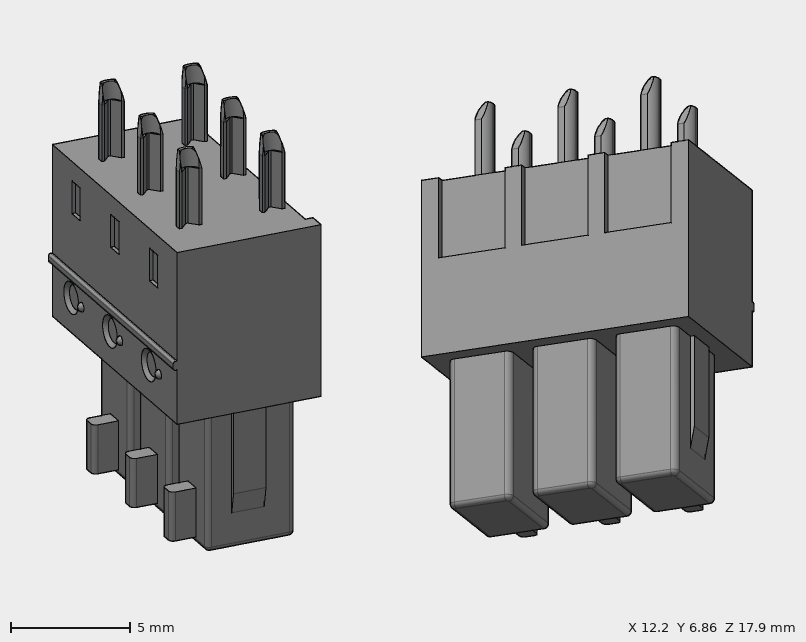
import cadquery as cq


total_height = 17.9
pole_pitch = 3.8
pole_centres = [-pole_pitch, 0.0, pole_pitch]

housing_width = 12.23
housing_depth = 6.68
housing_bottom = 6.6
housing_top = 14.5

notch_width = 3.05
notch_depth = 0.35
notch_height = 3.58

window_width = 0.8
window_height = 1.5
window_top_gap = 0.9
window_depth = 0.18

ridge_height = 0.41
ridge_centre_z = 9.3
ridge_protrusion = 0.18
ridge_radius = 0.1

mark_z = 8.2
recess_offset = -0.47
recess_outer_radius = 0.72
recess_inner_radius = 0.54
recess_depth = 0.18
bead_offset = 0.57
bead_radius = 0.21
bead_protrusion = 0.18

plug_width = 2.86
plug_depth = 4.12
plug_front_y = 1.79
plug_radius = 0.21
plug_rear_radius = 0.29

key_width = 0.8
key_length = 1.18
key_bottom = 0.3
key_top = 2.56
key_radius = 0.21

rail_width = 1.5
rail_centre_y = 3.7
rail_protrusion = 0.18
ramp_bottom = 1.61
ramp_top = 2.56

pin_rear_gap = 1.18
pin_row_spacing = 3.85
pin_left = -0.47
pin_right = 0.16
pin_half_width = 0.52
pin_nose_half_width = 0.05
pin_shoulder_x = -0.15
pin_arc_x = -0.38
pin_arc_y = 0.34
groove_bottom_x = -0.21
groove_half_width = 0.4
tip_length = 0.8
tip_half_width = 0.34
tip_flat_end_x = -0.25
tip_arc_x = 0.02
tip_arc_drop = 0.32
flare_radius = 0.47


def block(width, depth, height, x, front_y, bottom_z):
    """Box centred on x, starting at front_y and bottom_z."""
    box = cq.Workplane("XY").box(width, depth, height, centered=(True, False, False))
    return box.translate((x, front_y, bottom_z))


def make_housing():
    housing_height = housing_top - housing_bottom
    return block(housing_width, housing_depth, housing_height, 0, 0, housing_bottom)


def make_notch(x):
    return block(notch_width, notch_depth, notch_height, x,
                 housing_depth - notch_depth, housing_top - notch_height)


def make_window(x):
    window_bottom = housing_top - window_top_gap - window_height
    return block(window_width, window_depth, window_height, x, 0, window_bottom)


def make_ridge():
    ridge = block(housing_width, ridge_protrusion, ridge_height, 0,
                  -ridge_protrusion, ridge_centre_z - ridge_height / 2)
    return ridge.faces("<Y").edges("|X").fillet(ridge_radius)


def make_recess(x):
    """Conical recess that narrows towards its flat floor."""
    cone = cq.Solid.makeCone(
        recess_outer_radius, recess_inner_radius, recess_depth,
        pnt=cq.Vector(x + recess_offset, 0, mark_z), dir=cq.Vector(0, 1, 0),
    )
    return cq.Workplane(obj=cone)


def make_bead(x):
    sphere = cq.Workplane("XY").sphere(bead_radius)
    return sphere.translate((x + bead_offset, bead_radius - bead_protrusion, mark_z))


def make_plug(x):
    plug = block(plug_width, plug_depth, housing_bottom, x, plug_front_y, 0)
    plug = plug.faces(">Y").edges("|Z").fillet(plug_rear_radius)
    plug = plug.faces("<Y").edges("|Z").fillet(plug_radius)
    return plug.faces("<Z").edges().fillet(plug_radius)


def make_key(x):
    key = block(key_width, key_length, key_top - key_bottom, x,
                plug_front_y - key_length, key_bottom)
    root = block(key_width, plug_radius, key_top - key_bottom, x, plug_front_y, key_bottom)
    return key.faces("<Y").edges("|Z").fillet(key_radius).union(root)


def make_rail():
    """Rail on the right-hand plug, running out in a ramp at its lower end."""
    plug_side = pole_pitch + plug_width / 2
    return (
        cq.Workplane("XZ", origin=(0, rail_centre_y, 0))
        .moveTo(plug_side, ramp_bottom)
        .lineTo(plug_side + rail_protrusion, ramp_top)
        .lineTo(plug_side + rail_protrusion, housing_bottom)
        .lineTo(plug_side, housing_bottom)
        .close()
        .extrude(rail_width / 2, both=True)
    )


def make_pin():
    """Pin with a V-shaped groove along its +X side; at the tip it tapers and the groove flares."""
    tip_start = total_height - tip_length
    pin_length = total_height - housing_top

    shaft = (
        cq.Workplane("XY", origin=(0, 0, housing_top))
        .moveTo(pin_left, -pin_nose_half_width)
        .lineTo(pin_left, pin_nose_half_width)
        .threePointArc((pin_arc_x, pin_arc_y), (pin_shoulder_x, pin_half_width))
        .lineTo(pin_right, pin_half_width)
        .lineTo(pin_right, groove_half_width)
        .lineTo(groove_bottom_x, pin_nose_half_width)
        .lineTo(groove_bottom_x, -pin_nose_half_width)
        .lineTo(pin_right, -groove_half_width)
        .lineTo(pin_right, -pin_half_width)
        .lineTo(pin_shoulder_x, -pin_half_width)
        .threePointArc((pin_arc_x, -pin_arc_y), (pin_left, -pin_nose_half_width))
        .close()
        .extrude(pin_length)
    )
    side_taper = (
        cq.Workplane("YZ")
        .moveTo(-pin_half_width, housing_top)
        .lineTo(-pin_half_width, tip_start)
        .lineTo(-tip_half_width, total_height)
        .lineTo(tip_half_width, total_height)
        .lineTo(pin_half_width, tip_start)
        .lineTo(pin_half_width, housing_top)
        .close()
        .extrude(pin_half_width, both=True)
    )
    rounded_tip = (
        cq.Workplane("XZ")
        .moveTo(pin_left, housing_top)
        .lineTo(pin_left, total_height)
        .lineTo(tip_flat_end_x, total_height)
        .threePointArc((tip_arc_x, total_height - tip_arc_drop), (pin_right, tip_start))
        .lineTo(pin_right, housing_top)
        .close()
        .extrude(pin_half_width, both=True)
    )
    flare = cq.Solid.makeCone(
        groove_half_width, flare_radius, tip_length,
        pnt=cq.Vector(pin_right, 0, tip_start), dir=cq.Vector(0, 0, 1),
    )
    return shaft.intersect(side_taper).intersect(rounded_tip).cut(cq.Workplane(obj=flare))


result = make_housing().union(make_ridge())

pin = make_pin()
rear_pin_y = housing_depth - pin_rear_gap
pin_rows = [rear_pin_y - pin_row_spacing, rear_pin_y]
for pole_x in pole_centres:
    result = result.cut(make_notch(pole_x)).cut(make_window(pole_x)).cut(make_recess(pole_x))
    result = result.union(make_bead(pole_x)).union(make_plug(pole_x)).union(make_key(pole_x))
    for pin_y in pin_rows:
        result = result.union(pin.translate((pole_x, pin_y, 0)))

rail = make_rail()
result = result.union(rail).union(rail.mirror("YZ"))